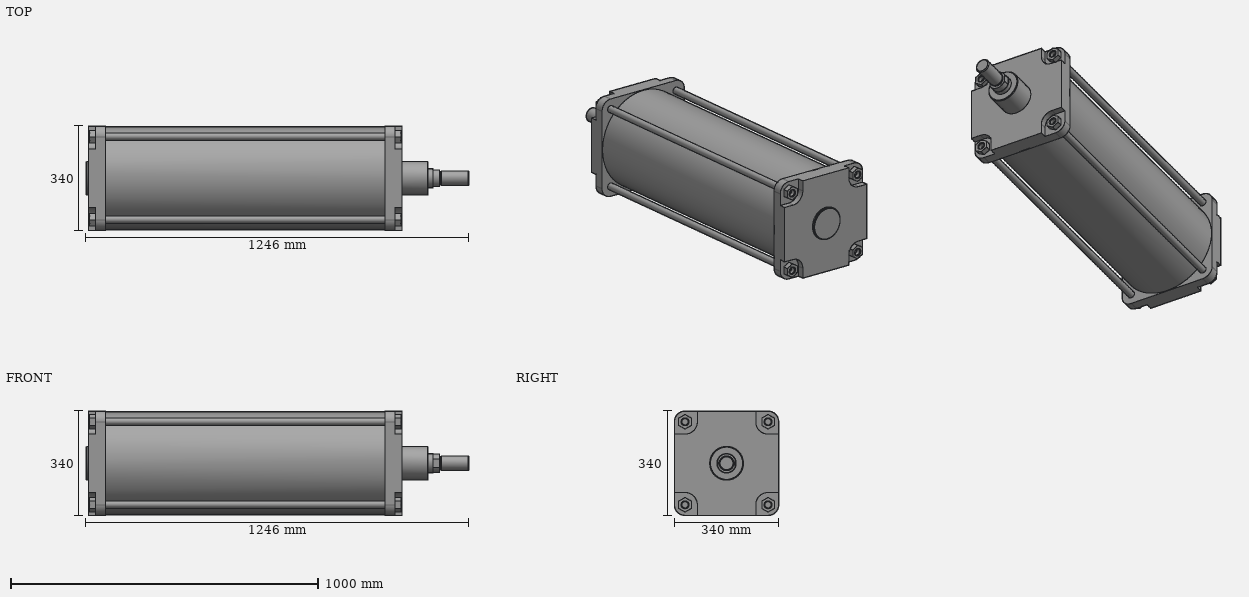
import cadquery as cq

stroke = 800
base_length = 220
body_length = base_length + stroke

cap_size = 340
cap_thickness = 56
tie_spacing = 270
corner_radius = (cap_size - tie_spacing) / 2
recess_depth = 23
recess_size = 75
recess_radius = recess_size - corner_radius
spigot_diameter = 110
spigot_chamfer = 2.5
rear_spigot_length = 8
front_spigot_length = 85

barrel_diameter = 336

rod_diameter = 63
rod_projection = 122
flats_length = 22
flats_diameter = 61
flats_width = 55
thread_diameter = 48
thread_length = 96
thread_chamfer = 3
relief_length = 3.5
relief_diameter = 45

tie_diameter = 24
hexagon_sides = 6
nut_width = 41
nut_inset = 4
nut_length = recess_depth - nut_inset
tie_hole_diameter = 20.75
tie_hole_depth = nut_length
tie_hole_chamfer = 2.5

half_spacing = tie_spacing / 2
tie_centres = [(y, z) for y in (-half_spacing, half_spacing) for z in (-half_spacing, half_spacing)]


def section(x):
    """Sketch plane across the axis at x: local x is Y, local y is Z, extrusion goes +X."""
    return cq.Workplane("YZ", origin=(x, 0, 0))


def cylinder(x, diameter, length):
    return section(x).circle(diameter / 2).extrude(length)


def make_cap(spigot_length):
    """Square cap with its outer face and spigot towards -X, the outer face at x = 0."""
    cap = section(0).rect(cap_size, cap_size).extrude(cap_thickness)
    cap = cap.edges("|X").fillet(corner_radius)

    recess_block_size = 2 * recess_size
    recesses = (
        section(0)
        .rect(cap_size, cap_size, forConstruction=True)
        .vertices()
        .rect(recess_block_size, recess_block_size)
        .extrude(recess_depth)
        .edges("|X")
        .fillet(recess_radius)
    )
    cap = cap.cut(recesses)

    spigot = cylinder(-spigot_length, spigot_diameter, spigot_length).faces("<X").chamfer(spigot_chamfer)
    tie_holes = section(0).pushPoints(tie_centres).circle(tie_diameter / 2).extrude(cap_thickness)
    return cap.union(spigot).cut(tie_holes)


def make_rear_cap():
    return make_cap(rear_spigot_length)


def make_front_cap():
    cap = make_cap(front_spigot_length).mirror("YZ").translate((body_length, 0, 0))
    bore_start = body_length - cap_thickness
    return cap.cut(cylinder(bore_start, rod_diameter, cap_thickness + front_spigot_length))


def make_barrel():
    return cylinder(cap_thickness, barrel_diameter, body_length - 2 * cap_thickness)


def make_piston_rod():
    """Rod from the inner face of the front cap, with wrench flats facing Y, thread relief and thread."""
    start = body_length - cap_thickness
    shoulder = body_length + rod_projection
    flats_start = shoulder - flats_length
    rod = cylinder(start, rod_diameter, flats_start - start)

    flats_block = section(flats_start).rect(flats_width, flats_diameter).extrude(flats_length)
    flats = cylinder(flats_start, flats_diameter, flats_length).intersect(flats_block)

    relief = cylinder(shoulder, relief_diameter, relief_length)
    thread = cylinder(shoulder + relief_length, thread_diameter, thread_length - relief_length)
    thread = thread.faces("<X or >X").chamfer(thread_chamfer)
    return rod.union(flats).union(relief).union(thread)


def make_tie_rod(y, z):
    """Tie rod with a hexagon nut and a chamfered blind hole at each end."""
    start = nut_inset
    end = body_length - nut_inset
    tie = section(start).center(y, z).circle(tie_diameter / 2).extrude(end - start)
    for nut_start in (start, end - nut_length):
        nut_sketch = section(nut_start).center(y, z)
        nut = nut_sketch.polygon(hexagon_sides, nut_width, circumscribed=True).extrude(nut_length)
        tie = tie.union(nut)
    for hole_start in (start, end - tie_hole_depth):
        hole = section(hole_start).center(y, z).circle(tie_hole_diameter / 2).extrude(tie_hole_depth)
        tie = tie.cut(hole)
    return tie.faces("<X or >X").edges("%CIRCLE").chamfer(tie_hole_chamfer)


rear_cap = make_rear_cap()
front_cap = make_front_cap()
barrel = make_barrel()
piston_rod = make_piston_rod()
tie_rods = [make_tie_rod(y, z) for y, z in tie_centres]

result = cq.Compound.makeCompound(
    [rear_cap.val(), front_cap.val(), barrel.val(), piston_rod.val(), *[tie.val() for tie in tie_rods]]
)